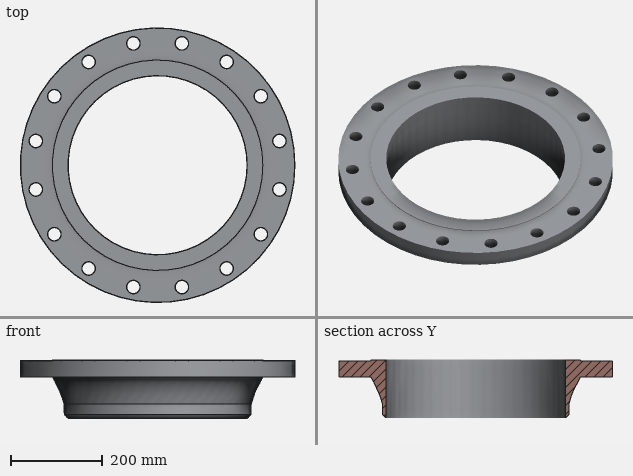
import cadquery as cq
import math

flange_diameter = 596.9
total_height = 127.06
flange_thickness = 37.0
raised_face_diameter = 457.2
raised_face_height = 1.56

hub_diameter = 457.2
neck_diameter = 406.4
bore_diameter = 388.5
neck_height = 31.0

hub_start_angle = 138.0
hub_twist_angle = 18.0

weld_land = 0.2
bevel_angle = 45.0

bolt_count = 16
bolt_circle_diameter = 539.75
bolt_hole_diameter = 28.6

flange_radius = flange_diameter / 2
raised_face_radius = raised_face_diameter / 2
hub_radius = hub_diameter / 2
neck_radius = neck_diameter / 2
bore_radius = bore_diameter / 2
weld_end_radius = bore_radius + weld_land
bevel_height = (neck_radius - weld_end_radius) / math.tan(math.radians(bevel_angle))
flange_bottom = total_height - flange_thickness
flange_top = total_height - raised_face_height


def revolve_section(points):
    """Revolve a closed (radius, height) outline about the flange axis."""
    return cq.Workplane("XZ").polyline(points).close().revolve(360, (0, 0), (0, 1))


def make_flange():
    """Flange plate with its raised face, still without the bore."""
    return revolve_section([
        (0, flange_bottom),
        (flange_radius, flange_bottom),
        (flange_radius, flange_top),
        (raised_face_radius, flange_top),
        (raised_face_radius, total_height),
        (0, total_height),
    ])


def make_neck():
    """Straight neck with the weld bevel, still without the bore."""
    return revolve_section([
        (0, 0),
        (weld_end_radius, 0),
        (neck_radius, bevel_height),
        (neck_radius, neck_height),
        (0, neck_height),
    ])


def make_circle_wire(radius, height, start_angle):
    """Circle around the flange axis whose start point lies at start_angle."""
    circle = cq.Wire.makeCircle(radius, cq.Vector(0, 0, 0), cq.Vector(0, 0, 1))
    circle = circle.rotate(cq.Vector(0, 0, 0), cq.Vector(0, 0, 1), start_angle)
    return circle.translate(cq.Vector(0, 0, height))


def make_hub():
    """Hub ruled between two circles that are twisted, which makes its wall slightly concave."""
    neck_circle = make_circle_wire(neck_radius, neck_height, hub_start_angle)
    flange_circle = make_circle_wire(hub_radius, flange_bottom, hub_start_angle + hub_twist_angle)
    return cq.Workplane(cq.Solid.makeLoft([neck_circle, flange_circle], True))


def make_bore():
    """Cylinder that opens the part from end to end."""
    return cq.Workplane("XY").circle(bore_radius).extrude(total_height)


def make_bolt_holes():
    """Cylinders through the flange, straddling the X and Y centre lines."""
    half_pitch_angle = 180 / bolt_count
    return (
        cq.Workplane("XY", origin=(0, 0, flange_bottom))
        .polarArray(bolt_circle_diameter / 2, half_pitch_angle, 360, bolt_count)
        .circle(bolt_hole_diameter / 2)
        .extrude(flange_thickness)
    )


body = make_flange().union(make_hub()).union(make_neck())
result = body.cut(make_bore()).cut(make_bolt_holes())